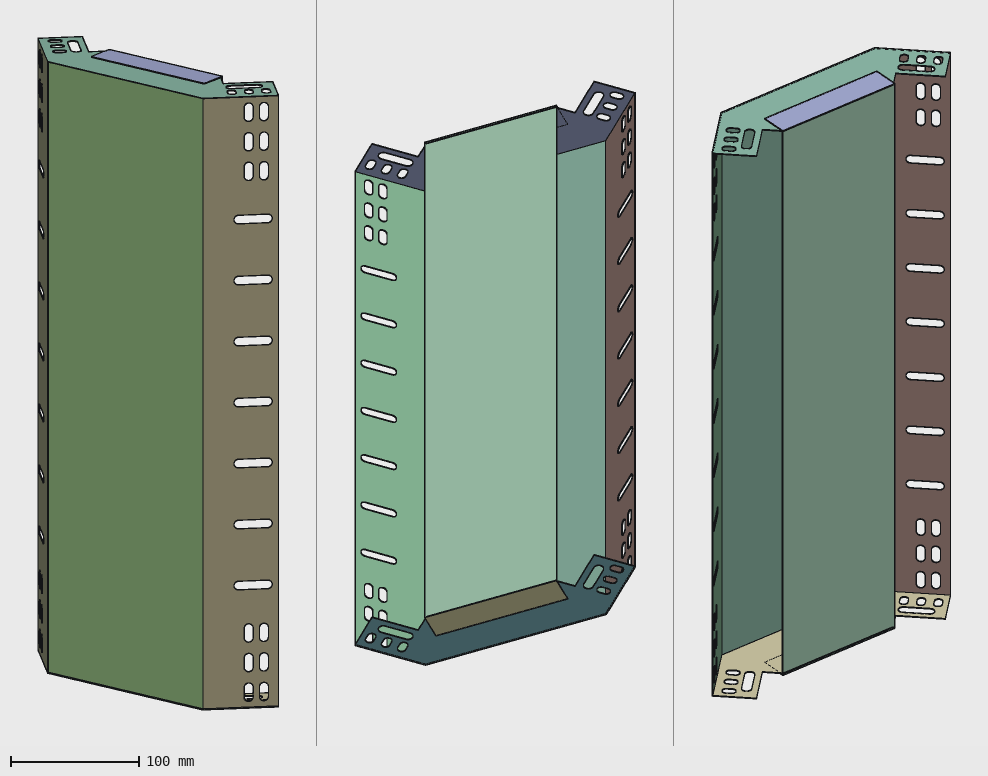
import cadquery as cq
import math

overall_width = 237.24
overall_depth = 66.99
overall_height = 503.2
sheet = 0.8

fold_angle = math.radians(45)
wall_length = 59.67
ear_edge_length = 39.0

lid_width = 111.5
lid_back_y = 51.9
lid_flange_depth = 23.0

cross_slot_length = 30.0
cross_slot_width = 7.0
cross_slot_offset = 20.0
cross_slot_pitch = 50.0
cross_slot_count = 7
end_slot_length = 15.0
end_slot_width = 7.0
end_slot_offsets = (11.5, 23.5)
end_slot_first = 13.1
end_slot_pitch = 24.25
end_slot_count = 3

ear_long_slot_length = 28.7
ear_long_slot_width = 8.0
ear_long_slot_offset = 23.8
ear_long_slot_depth = 25.7
ear_short_slot_length = 11.0
ear_short_slot_width = 6.7
ear_short_slot_offset = 21.7
ear_short_slot_pitch = 13.5
ear_short_slot_depth = 12.5
ear_short_slot_count = 3

tray_height = overall_height - 2 * sheet
along_x = math.cos(fold_angle)
along_y = math.sin(fold_angle)
wall_tip_x = overall_width / 2
wall_tip_y = wall_length * along_y
fold_x = wall_tip_x - wall_length * along_x
inner_fold_x = fold_x - sheet * math.tan(fold_angle / 2)
ear_tip_x = wall_tip_x - (overall_depth - wall_tip_y)
notch_x = ear_tip_x - ear_edge_length * along_x
notch_y = overall_depth - ear_edge_length * along_y
plate_back_y = lid_back_y - sheet
plate_back_x = notch_x - (plate_back_y - notch_y)


def mirrored_prism(right_half, bottom, height):
    """Extrude upward the outline made of a right half and its mirror image across X = 0."""
    left_half = [(-x, y) for x, y in reversed(right_half)]
    base = cq.Workplane("XY", origin=(0, 0, bottom))
    return base.polyline(right_half + left_half).close().extrude(height)


def row_positions(count, pitch):
    """Positions of evenly spaced items centred on zero."""
    return [(i - (count - 1) / 2) * pitch for i in range(count)]


def wall_slot_cutters(side):
    """Cross slots along a wall, and pairs of upright slots near its two ends."""
    face = cq.Plane(
        origin=(side * wall_tip_x, wall_tip_y, 0),
        xDir=(-side * along_x, -along_y, 0),
        normal=(-side * along_y, along_x, 0),
    )
    cross_centres = [(cross_slot_offset, z) for z in row_positions(cross_slot_count, cross_slot_pitch)]
    end_centres = [
        (offset, end * (tray_height / 2 - end_slot_first - i * end_slot_pitch))
        for offset in end_slot_offsets
        for end in (-1, 1)
        for i in range(end_slot_count)
    ]
    cut_depth = 2 * sheet
    cross_slots = (
        cq.Workplane(face)
        .pushPoints(cross_centres)
        .slot2D(cross_slot_length, cross_slot_width)
        .extrude(cut_depth, both=True)
    )
    end_slots = (
        cq.Workplane(face)
        .pushPoints(end_centres)
        .slot2D(end_slot_length, end_slot_width, 90)
        .extrude(cut_depth, both=True)
    )
    return [cross_slots, end_slots]


def ear_slot_cutters(side):
    """One long and a row of short slots, passing through the ears at both ends of the tray."""
    level = cq.Plane(
        origin=(side * wall_tip_x, wall_tip_y, 0),
        xDir=(-side * along_x, -along_y, 0),
        normal=(0, 0, 1),
    )
    inward = -side
    short_centres = [
        (ear_short_slot_offset + step, inward * ear_short_slot_depth)
        for step in row_positions(ear_short_slot_count, ear_short_slot_pitch)
    ]
    long_slot = (
        cq.Workplane(level)
        .center(ear_long_slot_offset, inward * ear_long_slot_depth)
        .slot2D(ear_long_slot_length, ear_long_slot_width)
        .extrude(overall_height / 2, both=True)
    )
    short_slots = (
        cq.Workplane(level)
        .pushPoints(short_centres)
        .slot2D(ear_short_slot_length, ear_short_slot_width, 90)
        .extrude(overall_height / 2, both=True)
    )
    return [long_slot, short_slots]


def make_tray():
    wall_profile = [
        (fold_x, 0),
        (wall_tip_x, wall_tip_y),
        (wall_tip_x - sheet * along_y, wall_tip_y + sheet * along_x),
        (inner_fold_x, sheet),
    ]
    end_plate_profile = [
        (fold_x, 0),
        (wall_tip_x, wall_tip_y),
        (ear_tip_x, overall_depth),
        (notch_x, notch_y),
        (plate_back_x, plate_back_y),
    ]
    body = mirrored_prism(wall_profile, -tray_height / 2, tray_height)
    for plate_bottom in (-tray_height / 2, tray_height / 2 - sheet):
        body = body.union(mirrored_prism(end_plate_profile, plate_bottom, sheet))
    for side in (-1, 1):
        for cutter in wall_slot_cutters(side) + ear_slot_cutters(side):
            body = body.cut(cutter)
    return body


def make_lid():
    """Channel with its back panel behind the end plates and its flanges outside them."""
    block = cq.Workplane("XY").box(lid_width, lid_flange_depth, overall_height)
    inside = (
        cq.Workplane("XY")
        .box(lid_width, lid_flange_depth, tray_height)
        .translate((0, -sheet, 0))
    )
    return block.cut(inside).translate((0, lid_back_y - lid_flange_depth / 2, 0))


tray = make_tray()
lid = make_lid()
result = cq.Compound.makeCompound([tray.val(), lid.val()])